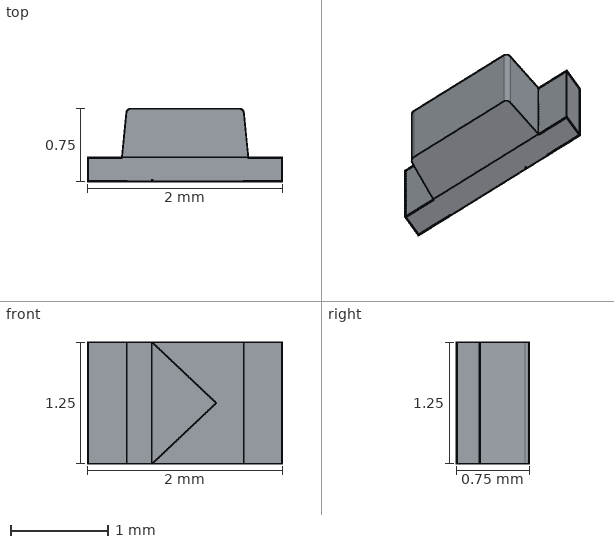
import cadquery as cq

LENGTH = 2.0
DEPTH = 0.75
HEIGHT = 1.25

BOARD_DEPTH = 0.25
PLATING = 0.01
END_PLATING = 0.0075
FRONT_PAD_LENGTH = 0.4

LENS_BASE_LENGTH = 1.3
LENS_TOP_LENGTH = 1.2
LENS_CORNER_RADIUS = 0.05

MARK_BASE_X = -0.34
MARK_TIP_X = 0.32
MARK_THICKNESS = 0.018

FRONT_Y = -DEPTH / 2
REAR_Y = DEPTH / 2
BOARD_REAR_Y = FRONT_Y + BOARD_DEPTH
HALF_LENGTH = LENGTH / 2
BOARD_HALF_LENGTH = HALF_LENGTH - END_PLATING
REAR_PAD_INNER_X = LENS_BASE_LENGTH / 2
FRONT_PAD_INNER_X = HALF_LENGTH - FRONT_PAD_LENGTH


def plate(x_a, x_b, y_a, y_b):
    """Full-height block between two X and two Y positions."""
    return (
        cq.Workplane("XY")
        .box(abs(x_b - x_a), abs(y_b - y_a), HEIGHT)
        .translate(((x_a + x_b) / 2, (y_a + y_b) / 2, 0))
    )


def front_pad(side):
    """Pad let into the front of the board; side is -1 or 1 along X."""
    return plate(side * FRONT_PAD_INNER_X, side * BOARD_HALF_LENGTH, FRONT_Y, FRONT_Y + PLATING)


def rear_pad(side):
    """Pad let into the rear of the board, from the foot of the lens to the end plate."""
    return plate(side * REAR_PAD_INNER_X, side * BOARD_HALF_LENGTH, BOARD_REAR_Y - PLATING, BOARD_REAR_Y)


def end_plate(side):
    """Plate covering the end faces of the board and of its two pads."""
    return plate(side * BOARD_HALF_LENGTH, side * HALF_LENGTH, FRONT_Y, BOARD_REAR_Y)


def polarity_mark():
    """Triangle pointing towards +X."""
    return (
        cq.Workplane("XZ", origin=(0, FRONT_Y, 0))
        .moveTo(MARK_BASE_X, -HEIGHT / 2)
        .lineTo(MARK_TIP_X, 0)
        .lineTo(MARK_BASE_X, HEIGHT / 2)
        .close()
        .extrude(-MARK_THICKNESS)
    )


def lens_body():
    """Lens with tapered ends and rounded rear corners."""
    return (
        cq.Workplane("XY", origin=(0, 0, -HEIGHT / 2))
        .moveTo(-LENS_BASE_LENGTH / 2, BOARD_REAR_Y)
        .lineTo(LENS_BASE_LENGTH / 2, BOARD_REAR_Y)
        .lineTo(LENS_TOP_LENGTH / 2, REAR_Y)
        .lineTo(-LENS_TOP_LENGTH / 2, REAR_Y)
        .close()
        .extrude(HEIGHT)
        .edges("|Z and >Y")
        .fillet(LENS_CORNER_RADIUS)
    )


def board_body(inlays):
    """Board with a matching recess for every inlay."""
    board = plate(-BOARD_HALF_LENGTH, BOARD_HALF_LENGTH, FRONT_Y, BOARD_REAR_Y)
    for inlay in inlays:
        board = board.cut(inlay)
    return board


terminals = []
for side in (-1, 1):
    terminals += [front_pad(side), rear_pad(side), end_plate(side)]
mark = polarity_mark()
lens = lens_body()
board = board_body(terminals + [mark])

result = cq.Compound.makeCompound(
    [board.val(), lens.val(), mark.val(), *[terminal.val() for terminal in terminals]]
)